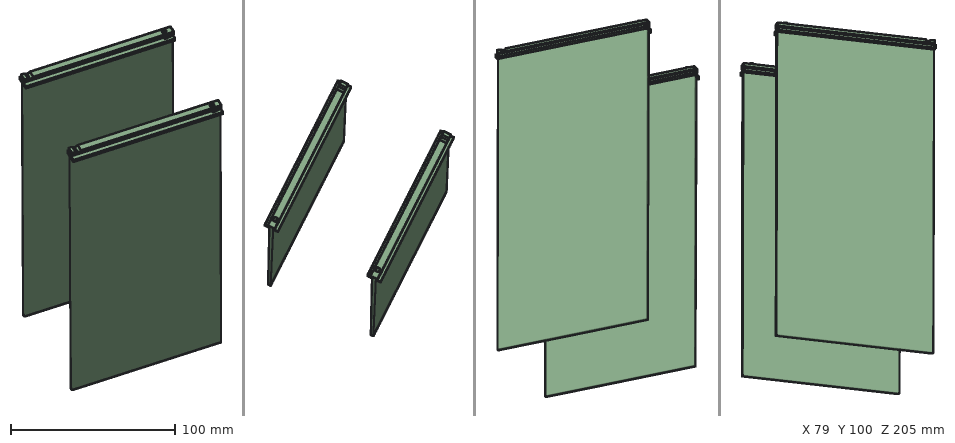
import cadquery as cq
import math

panel_spacing = 70.0
panel_length = 100.0
panel_height = 205.0
front_y = -panel_length / 2
back_y = panel_length / 2

bump_radius = 1.2
bump_width = 2.0
bump_from_back = 5.3
groove_back = 6.0
groove_bottom = 3.9
groove_front = 2.5
groove_depth = 1.0

cap_width = 5.0
cap_thickness = 2.0
web_width = 2.0
web_height = 2.0
flange_width = 9.0
flange_thickness = 1.68
cap_top = panel_height - bump_radius
cap_bottom = cap_top - cap_thickness
flange_top = cap_bottom - web_height
flange_bottom = flange_top - flange_thickness

stop_length = 5.7
stop_taper_angle = 10.0

sheet_top_left = -1.3
sheet_top_thickness = 2.9
sheet_bottom_left = 0.5
sheet_bottom_thickness = 2.0
sheet_edge_radius = 0.5


def extrude_along_y(points):
    """Extrude a closed XZ outline from the back end to the front end."""
    return (
        cq.Workplane("XZ", origin=(0, back_y, 0))
        .polyline(points)
        .close()
        .extrude(panel_length)
    )


def make_sheet():
    """Tapered leaning sheet, rounded on both bottom edges and the two +X upright edges."""
    outline = [
        (sheet_top_left, flange_bottom),
        (sheet_top_left + sheet_top_thickness, flange_bottom),
        (sheet_bottom_left + sheet_bottom_thickness, 0),
        (sheet_bottom_left, 0),
    ]
    sheet = extrude_along_y(outline)
    sheet = sheet.faces(">Y or <Y").edges(">X").fillet(sheet_edge_radius)
    return sheet.faces("<Z").edges("<X or >X").fillet(sheet_edge_radius)


def make_rail():
    """I-shaped rail section: cap, web and flange."""
    cap = cap_width / 2
    web = web_width / 2
    flange = flange_width / 2
    outline = [
        (-flange, flange_bottom),
        (flange, flange_bottom),
        (flange, flange_top),
        (web, flange_top),
        (web, cap_bottom),
        (cap, cap_bottom),
        (cap, cap_top),
        (-cap, cap_top),
        (-cap, cap_bottom),
        (-web, cap_bottom),
        (-web, flange_top),
        (-flange, flange_top),
    ]
    return extrude_along_y(outline)


def make_stop():
    """Block between flange and cap that narrows towards the back end."""
    front_half = cap_width / 2
    back_half = front_half - stop_length * math.tan(math.radians(stop_taper_angle))
    return (
        cq.Workplane("XY", origin=(0, 0, flange_top))
        .polyline([
            (-front_half, back_y - stop_length),
            (front_half, back_y - stop_length),
            (back_half, back_y),
            (-back_half, back_y),
        ])
        .close()
        .extrude(web_height)
    )


def make_bump():
    """Half-round detent bump lying across the cap; its lower half is inside the cap."""
    return (
        cq.Workplane("YZ", origin=(-bump_width / 2, back_y - bump_from_back, cap_top))
        .circle(bump_radius)
        .extrude(bump_width)
    )


def make_groove():
    """Cutter for the groove across the cap: an arc at the back and a straight ramp at the front."""
    run = groove_back - groove_bottom
    arc_radius = (run ** 2 + groove_depth ** 2) / (2 * groove_depth)
    half_angle = math.atan(groove_depth / run)
    arc_middle = (
        groove_bottom + arc_radius * math.sin(half_angle),
        -groove_depth + arc_radius * (1 - math.cos(half_angle)),
    )
    return (
        cq.Workplane("YZ", origin=(-cap_width / 2, front_y, cap_top))
        .moveTo(groove_bottom, -groove_depth)
        .threePointArc(arc_middle, (groove_back, 0))
        .lineTo(groove_front, 0)
        .close()
        .extrude(cap_width)
    )


def make_panel():
    """One complete panel with its rail centred on X = 0."""
    return (
        make_rail()
        .union(make_stop())
        .union(make_sheet())
        .union(make_bump())
        .cut(make_groove())
    )


panel = make_panel()
panels = [
    panel.translate((side * panel_spacing / 2, 0, 0)).val()
    for side in (-1, 1)
]
result = cq.Compound.makeCompound(panels)